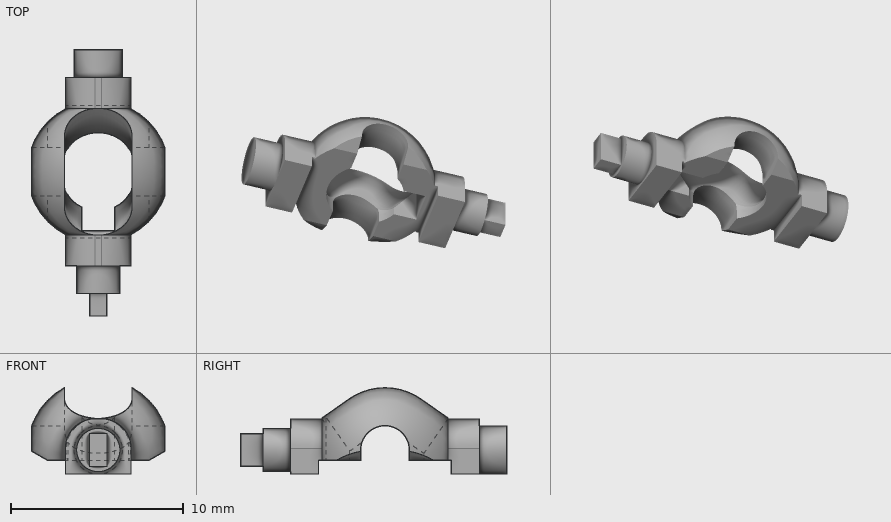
import cadquery as cq
import math


ball_radius = 4.1
ball_floor = -0.6
ball_end = 3.65

bore_diameter = 2.8

seat_radius = 2.25

bevel_angle = 30
bevel_inner_x = 2.93

swing_radius = 1.95
swing_angle = 35
swing_length = 2 * ball_radius

boss_width = 3.8
boss_bottom = -1.4
boss_top = 1.8
boss_round = 1.7
boss_outer_y = 5.45
boss_foot_inner_y = 3.83

pin_length = 1.6
pin_embed = 0.5
back_pin_diameter = 2.8
front_pin_diameter = 2.5
tab_width = 1.0
tab_height = 1.9
tab_length = 1.3

notch_width = 1.9
notch_end_y = -3.4


def block(x_min, x_max, y_min, y_max, z_min, z_max):
    """Rectangular block given by its limits."""
    size = (x_max - x_min, y_max - y_min, z_max - z_min)
    return cq.Workplane("XY").box(*size, centered=False).translate((x_min, y_min, z_min))


def make_ball():
    """Ball cut flat at its floor and at both ends."""
    limits = block(-ball_radius, ball_radius, -ball_end, ball_end, ball_floor, ball_radius)
    return cq.Workplane("XY").sphere(ball_radius).intersect(limits)


def make_cross_bore():
    """Round bore along X with straight walls down through the floor."""
    radius = bore_diameter / 2
    bore = cq.Workplane("YZ").circle(radius).extrude(ball_radius, both=True)
    return bore.union(block(-ball_radius, ball_radius, -radius, radius, -ball_radius, 0))


def make_seat():
    """Spherical seat that drops straight down through the floor."""
    entry = cq.Workplane("XY").circle(seat_radius).extrude(-ball_radius)
    return cq.Workplane("XY").sphere(seat_radius).union(entry)


def make_bevel(side):
    """Wedge below the sloping underside of one cheek; side is +1 or -1."""
    run = ball_radius - bevel_inner_x
    rise = run * math.tan(math.radians(bevel_angle))
    corners = [
        (side * bevel_inner_x, ball_floor),
        (side * ball_radius, ball_floor + rise),
        (side * ball_radius, ball_floor),
    ]
    return cq.Workplane("XZ").polyline(corners).close().extrude(ball_radius, both=True)


def make_swing_clearance():
    """Two tilted cylinders and the straight-sided wedge between their axes."""
    half_spread = swing_length * math.tan(math.radians(swing_angle))
    clearance = (
        cq.Workplane("YZ")
        .polyline([(0, 0), (half_spread, swing_length), (-half_spread, swing_length)])
        .close()
        .extrude(swing_radius, both=True)
    )
    for angle in (swing_angle, -swing_angle):
        cylinder = cq.Workplane("XY").circle(swing_radius).extrude(swing_length)
        clearance = clearance.union(cylinder.rotate((0, 0, 0), (1, 0, 0), angle))
    return clearance


def make_notch():
    """Narrow vertical slot from the opening towards the front boss."""
    return block(-notch_width / 2, notch_width / 2, notch_end_y, 0, -ball_radius, ball_radius)


def make_boss(side):
    """Boss with a rounded top and a stepped-back foot; side is +1 or -1 along Y."""
    half_width = boss_width / 2
    boss = block(-half_width, half_width, ball_end, boss_outer_y, boss_bottom, boss_top)
    boss = boss.edges("|Y and >Z").fillet(boss_round)
    step = block(-half_width, half_width, ball_end, boss_foot_inner_y, boss_bottom, ball_floor)
    boss = boss.cut(step)
    return boss if side > 0 else boss.mirror("XZ")


def make_pin(diameter, side):
    """Round pin standing out of a boss; side is +1 or -1 along Y."""
    pin = cq.Workplane("XZ", origin=(0, side * (boss_outer_y - pin_embed), 0))
    return pin.circle(diameter / 2).extrude(-side * (pin_length + pin_embed))


def make_tab():
    """Flat drive tab on the end of the front pin."""
    pin_end = -(boss_outer_y + pin_length)
    half_width = tab_width / 2
    half_height = tab_height / 2
    return block(-half_width, half_width, pin_end - tab_length, pin_end, -half_height, half_height)


body = make_ball().cut(make_cross_bore()).cut(make_seat())
for side in (1, -1):
    body = body.cut(make_bevel(side))
    body = body.union(make_boss(side))
body = body.cut(make_swing_clearance()).cut(make_notch())

result = (
    body.union(make_pin(back_pin_diameter, 1))
    .union(make_pin(front_pin_diameter, -1))
    .union(make_tab())
)